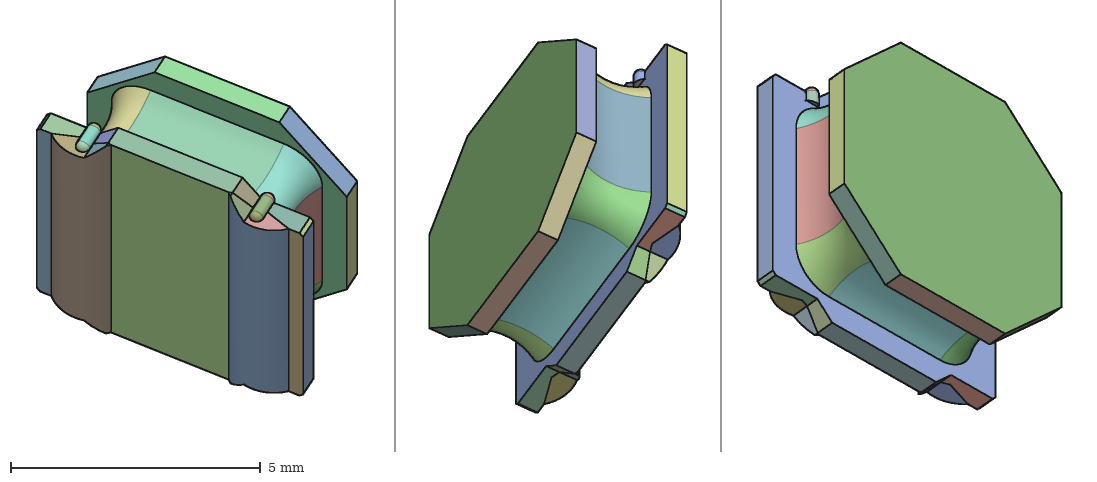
import cadquery as cq
import math


full_height = 6.0
base_width = 6.0
top_width = 5.85
total_depth = 2.8
flange_thickness = 0.46
winding_length = 1.6

top_corner_cut = 1.52

base_shoulder_height = 5.2
base_tab_width = 2.8
base_corner_cut = 0.08

winding_corner_center = 1.5
winding_waist_radius = 0.66
winding_hollow_radius = 1.6

electrode_offset = 2.0
electrode_width = 1.35
groove_depth = 0.22

wire_radius = 0.15
wire_offset = 1.955

back_face = total_depth
winding_back = back_face - flange_thickness
winding_front = winding_back - winding_length
base_face = winding_front - flange_thickness
winding_middle = (winding_front + winding_back) / 2

half_height = full_height / 2
half_base_width = base_width / 2
half_shoulder_height = base_shoulder_height / 2
half_tab_width = base_tab_width / 2
shoulder_step = half_height - half_shoulder_height
wire_height = half_shoulder_height

half_winding = winding_length / 2
hollow_depth = winding_hollow_radius - math.sqrt(winding_hollow_radius**2 - half_winding**2)
winding_rim_radius = winding_waist_radius + hollow_depth
waist = winding_corner_center + winding_waist_radius
rim = winding_corner_center + winding_rim_radius

SIDES = (-1, 1)


def make_back_flange():
    """Octagonal plate behind the winding."""
    plate = cq.Workplane("XY").box(top_width, flange_thickness, full_height)
    plate = plate.edges("|Y").chamfer(top_corner_cut)
    return plate.translate((0, back_face - flange_thickness / 2, 0))


def base_outline(front, back):
    """Prism with the front flange's outline, between two Y positions."""
    quarter = [
        (half_base_width, half_shoulder_height - base_corner_cut),
        (half_base_width - base_corner_cut, half_shoulder_height),
        (half_tab_width + shoulder_step, half_shoulder_height),
        (half_tab_width, half_height),
    ]
    right_half = [(x, -z) for x, z in reversed(quarter)] + quarter
    left_half = [(-x, -z) for x, z in right_half]
    outline = cq.Workplane("XZ", origin=(0, back, 0)).polyline(right_half + left_half).close()
    return outline.extrude(back - front)


def make_winding():
    """Rounded square winding: two crossed concave slabs and a concave spool at each corner."""
    slab = (
        cq.Workplane("XY", origin=(0, winding_middle, -winding_corner_center))
        .moveTo(-rim, -half_winding)
        .lineTo(rim, -half_winding)
        .threePointArc((waist, 0), (rim, half_winding))
        .lineTo(-rim, half_winding)
        .threePointArc((-waist, 0), (-rim, -half_winding))
        .close()
        .extrude(2 * winding_corner_center)
    )
    spool = (
        cq.Workplane("XY", origin=(0, winding_middle, 0))
        .moveTo(0, -half_winding)
        .lineTo(winding_rim_radius, -half_winding)
        .threePointArc((winding_waist_radius, 0), (winding_rim_radius, half_winding))
        .lineTo(0, half_winding)
        .close()
        .revolve(360, (0, 0, 0), (0, 1, 0))
    )
    winding = slab.union(slab.rotate((0, 0, 0), (0, 1, 0), 90))
    for x_side in SIDES:
        for z_side in SIDES:
            corner = (x_side * winding_corner_center, 0, z_side * winding_corner_center)
            winding = winding.union(spool.translate(corner))
    return winding


def make_electrode(side):
    """Domed bead over a V groove, trimmed to the front flange's outline."""
    center = side * electrode_offset
    half_width = electrode_width / 2
    bead = (
        cq.Workplane("XY", origin=(center, 0, -half_height))
        .moveTo(-half_width, base_face)
        .threePointArc((0, 0), (half_width, base_face))
        .lineTo(0, base_face + groove_depth)
        .close()
        .extrude(full_height)
    )
    return bead.intersect(base_outline(0, winding_front))


def make_wire(side):
    """Wire end that rises from the winding and bends forward over the flange's shoulder."""
    x = side * wire_offset
    riser = (
        cq.Workplane("XY", origin=(x, winding_front, waist))
        .circle(wire_radius)
        .extrude(wire_height - waist)
    )
    foot_trim = (
        cq.Workplane("YZ", origin=(x, 0, 0))
        .moveTo(0, 0)
        .lineTo(0, rim)
        .lineTo(winding_front, rim)
        .threePointArc((winding_middle, waist), (winding_back, rim))
        .lineTo(winding_back, 0)
        .close()
        .extrude(wire_radius * 2, both=True)
    )
    riser = riser.cut(foot_trim)
    run = (
        cq.Workplane("XZ", origin=(x, winding_front, wire_height))
        .circle(wire_radius)
        .extrude(flange_thickness)
    )
    ball = cq.Workplane("XY").sphere(wire_radius)
    bend = ball.translate((x, winding_front, wire_height))
    tip = ball.translate((x, base_face, wire_height))
    return run.union(riser).union(bend).union(tip)


back_flange = make_back_flange()
winding = make_winding()
front_flange = base_outline(base_face, winding_front)
electrodes = []
wires = []
for side in SIDES:
    wire = make_wire(side)
    electrode = make_electrode(side)
    front_flange = front_flange.cut(electrode).cut(wire)
    electrodes.append(electrode.cut(wire))
    wires.append(wire)

result = cq.Compound.makeCompound(
    [back_flange.val(), winding.val(), front_flange.val()]
    + [electrode.val() for electrode in electrodes]
    + [wire.val() for wire in wires]
)